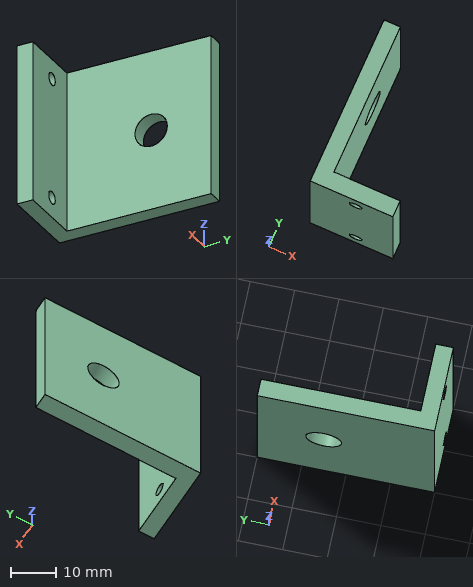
import cadquery as cq

height = 40.0
plate_length = 40.0
flange_width = 20.0
thickness = 4.0

plate_hole_diameter = 8.0
plate_hole_y = 25.0

screw_hole_diameter = 3.0
screw_hole_x = 11.0
screw_hole_edge_distance = 5.0

plate = cq.Workplane("XY").box(thickness, plate_length, height, centered=False)
flange = cq.Workplane("XY").box(flange_width, thickness, height, centered=False)
body = plate.union(flange)

plate_hole = (
    cq.Workplane("YZ")
    .center(plate_hole_y, height / 2)
    .circle(plate_hole_diameter / 2)
    .extrude(thickness)
)

screw_holes = (
    cq.Workplane("XZ")
    .pushPoints([
        (screw_hole_x, screw_hole_edge_distance),
        (screw_hole_x, height - screw_hole_edge_distance),
    ])
    .circle(screw_hole_diameter / 2)
    .extrude(-thickness)
)

result = body.cut(plate_hole).cut(screw_holes)